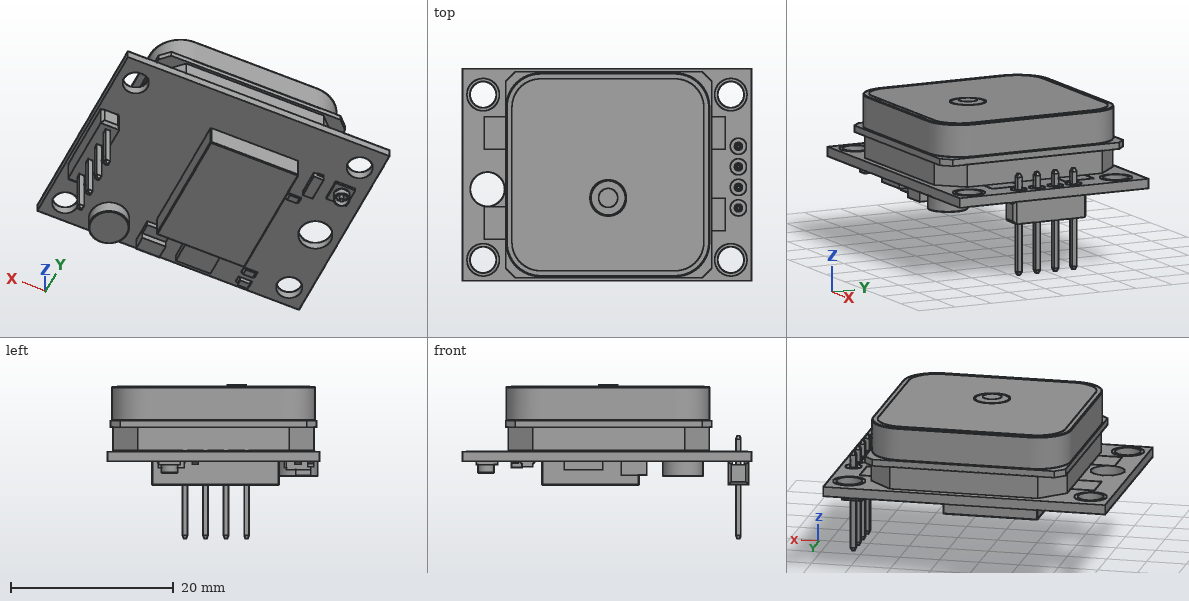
import cadquery as cq


BOARD_LENGTH = 35.6
BOARD_WIDTH = 26.1
BOARD_THICKNESS = 1.2
MOUNT_HOLE_DIA = 3.2
MOUNT_RING_DIA = 4.0
MOUNT_X = 15.25
MOUNT_BACK_Y = 9.85
MOUNT_FRONT_Y = -10.45
CABLE_HOLE_DIA = 4.2
CABLE_HOLE_CENTRE = (-14.7, -1.78)

COPPER = 0.05
SOLDER_PAD_SIDE = 4.0
LEFT_PAD_X = -15.1
RIGHT_PAD_X = 14.55
BACK_PAD_Y = 5.13
LEFT_FRONT_PAD_Y = -5.9
RIGHT_FRONT_PAD_Y = -4.88

MODULE_LENGTH = 11.95
MODULE_WIDTH = 15.65
MODULE_HEIGHT = 2.92
MODULE_CENTRE = (-2.03, -0.25)
MODULE_BEVEL = 0.1
BATTERY_DIA = 5.0
BATTERY_HEIGHT = 1.85
BATTERY_CENTRE = (9.33, -10.35)
BATTERY_BEVEL = 0.1
SOCKET_CENTRE = (-14.88, 5.4)
SOCKET_BASE_SIDE = 2.67
SOCKET_BASE_SHIFT = 0.1
SOCKET_BASE_HEIGHT = 0.4
SOCKET_DIA = 2.0
SOCKET_BORE_DIA = 1.7
SOCKET_PIN_DIA = 0.5
SOCKET_HEIGHT = 1.45
SOCKET_BEVEL = 0.1
MEMORY_SIZE = (4.7, 3.03, 1.05)
MEMORY_CENTRE = (-2.9, -10.45)
REGULATOR_SIZE = (3.17, 1.85, 1.7)
REGULATOR_CENTRE = (3.3, -11.05)
REGULATOR_TAB_REACH = 1.42
REGULATOR_TAB_HEIGHT = 0.8
CAPACITOR_SIZE = (1.3, 3.17, 0.8)
CAPACITOR_CENTRE = (-11.1, 5.2)
CAPACITOR_CHIP_X = -11.32
CAPACITOR_CHIP_LENGTH = 3.45
CHIP_LENGTH = 1.85
CHIP_WIDTH = 0.8
CHIP_HEIGHT = 0.35
CHIP_END_BEVEL = 0.3
CHIP_X = -9.8
CHIP_YS = (2.25, -10.4, -11.95)
LAMP_SIZE = (1.35, CHIP_WIDTH, 0.68)

PIN_COUNT = 4
PIN_PITCH = 2.53
PIN_SIDE = 0.65
PIN_TOP_Z = 3.17
PIN_BOTTOM_Z = -9.55
PIN_TIP_LENGTH = 0.43
PIN_TIP_INSET = 0.18
PIN_HOLE_DIA = 0.95
PIN_PAD_DIA = 2.0
HEADER_CENTRE = (16.15, -0.3)
HEADER_WIDTH = PIN_PITCH
HEADER_LENGTH = PIN_COUNT * PIN_PITCH
HEADER_HEIGHT = 2.9
HEADER_END_BEVEL = 0.35
HEADER_GROOVE_WIDTH = 1.5
HEADER_GROOVE_DEPTH = 0.4

ANTENNA_CENTRE = (0.2, 0.0)
ANTENNA_GAP = 0.1
CAN_SIDE = 24.75
CAN_CORNER = 3.03
PLATE_SIDE = 25.35
PLATE_CORNER = 1.17
PLATE_BOTTOM_Z = 4.2
PLATE_TOP_Z = 5.02
PATCH_CENTRE = (0.1, 0.0)
PATCH_SIDE = 25.03
PATCH_RADIUS = 4.2
PATCH_TOP_Z = 9.2
PATCH_BEVEL = 0.1
SILVER = 0.05
SILVER_INSET = 0.7
FEED_CENTRE = (0.15, -2.85)
FEED_RING_OUTER_DIA = 4.5
FEED_RING_INNER_DIA = 4.2
FEED_DISC_DIA = 2.35
FEED_DISC_THICKNESS = 0.018
FEED_DISC_TOP_Z = 9.45

MOUNT_POINTS = [(x, y) for x in (-MOUNT_X, MOUNT_X) for y in (MOUNT_BACK_Y, MOUNT_FRONT_Y)]
PIN_POINTS = [
    (HEADER_CENTRE[0], HEADER_CENTRE[1] + (i - (PIN_COUNT - 1) / 2) * PIN_PITCH)
    for i in range(PIN_COUNT)
]


def plane_at(z):
    return cq.Workplane("XY").workplane(offset=z)


def hanging_box(size, centre):
    """A box of (length, width, height) hanging from the lower face of the board."""
    length, width, height = size
    return cq.Workplane("XY").center(*centre).rect(length, width).extrude(-height)


def hanging_cylinder(diameter, height, centre):
    return cq.Workplane("XY").center(*centre).circle(diameter / 2).extrude(-height)


def make_pads():
    left_x = LEFT_PAD_X + SOLDER_PAD_SIDE / 2
    right_x = RIGHT_PAD_X - SOLDER_PAD_SIDE / 2
    solder_points = [
        (left_x, BACK_PAD_Y),
        (left_x, LEFT_FRONT_PAD_Y),
        (right_x, BACK_PAD_Y),
        (right_x, RIGHT_FRONT_PAD_Y),
    ]
    top = plane_at(BOARD_THICKNESS)
    pads = top.pushPoints(solder_points).rect(SOLDER_PAD_SIDE, SOLDER_PAD_SIDE).extrude(COPPER)
    rings = top.pushPoints(MOUNT_POINTS).circle(MOUNT_RING_DIA / 2).extrude(COPPER)
    pin_pads = top.pushPoints(PIN_POINTS).circle(PIN_PAD_DIA / 2).extrude(COPPER)
    return pads.union(rings).union(pin_pads)


def make_holes():
    depth = BOARD_THICKNESS + COPPER
    base = cq.Workplane("XY")
    holes = base.pushPoints(MOUNT_POINTS).circle(MOUNT_HOLE_DIA / 2).extrude(depth)
    cable_hole = base.center(*CABLE_HOLE_CENTRE).circle(CABLE_HOLE_DIA / 2).extrude(depth)
    pin_holes = base.pushPoints(PIN_POINTS).circle(PIN_HOLE_DIA / 2).extrude(depth)
    return holes.union(cable_hole).union(pin_holes)


def make_module():
    module = hanging_box((MODULE_LENGTH, MODULE_WIDTH, MODULE_HEIGHT), MODULE_CENTRE)
    return module.edges("|Z or <Z").chamfer(MODULE_BEVEL)


def make_battery():
    battery = hanging_cylinder(BATTERY_DIA, BATTERY_HEIGHT, BATTERY_CENTRE)
    return battery.faces("<Z").edges().chamfer(BATTERY_BEVEL)


def make_socket():
    """Coaxial antenna socket: a round shell and a centre pin on a square base."""
    base_centre = (SOCKET_CENTRE[0] + SOCKET_BASE_SHIFT, SOCKET_CENTRE[1])
    base = hanging_box((SOCKET_BASE_SIDE, SOCKET_BASE_SIDE, SOCKET_BASE_HEIGHT), base_centre)
    shell = hanging_cylinder(SOCKET_DIA, SOCKET_HEIGHT, SOCKET_CENTRE)
    shell = shell.faces("<Z").edges().chamfer(SOCKET_BEVEL)
    bore = hanging_cylinder(SOCKET_BORE_DIA, SOCKET_HEIGHT, SOCKET_CENTRE)
    pin = hanging_cylinder(SOCKET_PIN_DIA, SOCKET_HEIGHT, SOCKET_CENTRE)
    return shell.cut(bore).union(base).union(pin)


def make_regulator():
    """A tall block with a low tab on its +Y side."""
    length, width, _ = REGULATOR_SIZE
    x, y = REGULATOR_CENTRE
    tab_centre = (x, y + (width + REGULATOR_TAB_REACH) / 2)
    tab = hanging_box((length, REGULATOR_TAB_REACH, REGULATOR_TAB_HEIGHT), tab_centre)
    return hanging_box(REGULATOR_SIZE, REGULATOR_CENTRE).union(tab)


def make_chip(y):
    """A low chip along X with sloped ends."""
    chip = hanging_box((CHIP_LENGTH, CHIP_WIDTH, CHIP_HEIGHT), (CHIP_X, y))
    return chip.faces("<Z").edges("|Y").chamfer(CHIP_END_BEVEL)


def make_capacitor():
    """A block over a low chip along Y whose sloped ends stick out."""
    chip_centre = (CAPACITOR_CHIP_X, CAPACITOR_CENTRE[1])
    chip = hanging_box((CHIP_WIDTH, CAPACITOR_CHIP_LENGTH, CHIP_HEIGHT), chip_centre)
    chip = chip.faces("<Z").edges("|X").chamfer(CHIP_END_BEVEL)
    return hanging_box(CAPACITOR_SIZE, CAPACITOR_CENTRE).union(chip)


def make_board():
    """The board, its pads and the parts soldered under it, as one solid."""
    board = cq.Workplane("XY").rect(BOARD_LENGTH, BOARD_WIDTH).extrude(BOARD_THICKNESS)
    board = board.union(make_pads()).cut(make_holes())
    soldered_parts = [
        make_module(),
        make_battery(),
        make_socket(),
        make_regulator(),
        make_capacitor(),
        hanging_box(MEMORY_SIZE, MEMORY_CENTRE),
        hanging_box(LAMP_SIZE, (CHIP_X, CHIP_YS[-1])),
        *[make_chip(y) for y in CHIP_YS],
    ]
    for part in soldered_parts:
        board = board.union(part)
    return board


def make_header():
    """Plastic strip under the board, with bevelled ends, a groove on top and square pin holes."""
    strip = hanging_box((HEADER_WIDTH, HEADER_LENGTH, HEADER_HEIGHT), HEADER_CENTRE)
    strip = strip.faces("<Y or >Y").edges().chamfer(HEADER_END_BEVEL)
    groove = hanging_box((HEADER_GROOVE_WIDTH, HEADER_LENGTH, HEADER_GROOVE_DEPTH), HEADER_CENTRE)
    sockets = cq.Workplane("XY").pushPoints(PIN_POINTS).rect(PIN_SIDE, PIN_SIDE).extrude(-HEADER_HEIGHT)
    return strip.cut(groove).cut(sockets)


def make_pin(point):
    """Square pin with a tapered tip at each end."""
    tip_side = PIN_SIDE - 2 * PIN_TIP_INSET
    upper_z = PIN_TOP_Z - PIN_TIP_LENGTH
    lower_z = PIN_BOTTOM_Z + PIN_TIP_LENGTH
    pin = plane_at(lower_z).center(*point).rect(PIN_SIDE, PIN_SIDE).extrude(upper_z - lower_z)
    for z, step in ((upper_z, PIN_TIP_LENGTH), (lower_z, -PIN_TIP_LENGTH)):
        wide = plane_at(z).center(*point).rect(PIN_SIDE, PIN_SIDE)
        pin = pin.union(wide.workplane(offset=step).rect(tip_side, tip_side).loft())
    return pin


def square_block(centre, side, bottom_z, top_z):
    return plane_at(bottom_z).center(*centre).rect(side, side).extrude(top_z - bottom_z)


def make_antenna():
    """Shield can, carrier plate and ceramic patch; the can stands just clear of the board."""
    can = square_block(ANTENNA_CENTRE, CAN_SIDE, BOARD_THICKNESS + ANTENNA_GAP, PLATE_BOTTOM_Z)
    can = can.edges("|Z").chamfer(CAN_CORNER)
    plate = square_block(ANTENNA_CENTRE, PLATE_SIDE, PLATE_BOTTOM_Z, PLATE_TOP_Z)
    plate = plate.edges("|Z").chamfer(PLATE_CORNER)
    patch = square_block(PATCH_CENTRE, PATCH_SIDE, PLATE_TOP_Z, PATCH_TOP_Z)
    patch = patch.edges("|Z").fillet(PATCH_RADIUS)
    patch = patch.faces("<Z or >Z").edges().chamfer(PATCH_BEVEL)
    silver_side = PATCH_SIDE - 2 * SILVER_INSET
    silver = square_block(PATCH_CENTRE, silver_side, PATCH_TOP_Z, PATCH_TOP_Z + SILVER)
    silver = silver.edges("|Z").fillet(PATCH_RADIUS - SILVER_INSET)
    ring = (
        plane_at(PATCH_TOP_Z)
        .center(*FEED_CENTRE)
        .circle(FEED_RING_OUTER_DIA / 2)
        .circle(FEED_RING_INNER_DIA / 2)
        .extrude(SILVER)
    )
    return can.union(plate).union(patch).union(silver).cut(ring)


def make_feed_disc():
    """Thin contact disc above the ceramic patch."""
    disc = plane_at(FEED_DISC_TOP_Z).center(*FEED_CENTRE).circle(FEED_DISC_DIA / 2)
    return disc.extrude(-FEED_DISC_THICKNESS)


board = make_board()
header = make_header()
pins = [make_pin(point) for point in PIN_POINTS]
antenna = make_antenna()
feed_disc = make_feed_disc()

result = cq.Compound.makeCompound(
    [board.val(), header.val(), *[pin.val() for pin in pins], antenna.val(), feed_disc.val()]
)